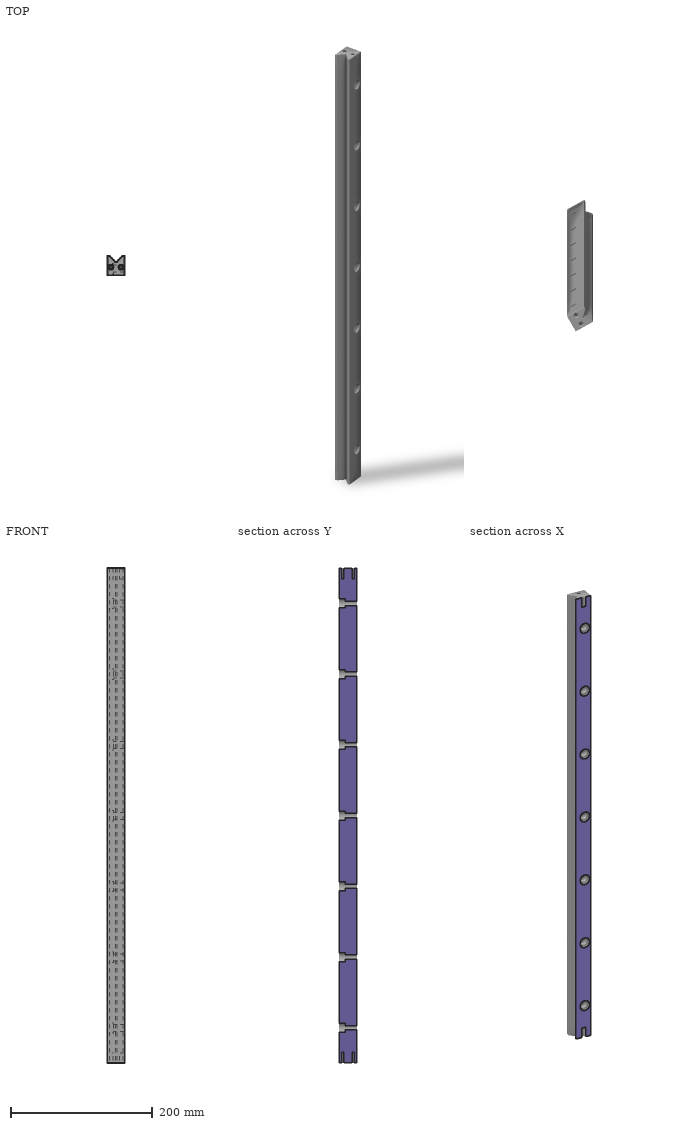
import cadquery as cq

WIDTH = 25.0
HEIGHT = 28.0
LENGTH = 700.0

TRACK_WIDTH = 19.0
RELIEF_WIDTH = 2.5
RELIEF_FLOOR_DEPTH = 9.2

MOUNT_PITCH = 100.0
MOUNT_COUNT = 7
MOUNT_HEIGHT = 10.0
MOUNT_DIAMETER = 9.8
COUNTERBORE_DIAMETER = 14.5
COUNTERBORE_DEPTH = 8.5

END_HOLE_SPACING = 14.5
END_HOLE_HEIGHT = 11.75
END_HOLE_DIAMETER = 5.0
END_HOLE_DEPTH = 15.0
END_HOLE_MOUTH_DIAMETER = 7.5

END_CHAMFER = 0.5

base_y = -HEIGHT / 2
top_y = HEIGHT / 2
side_x = WIDTH / 2


def make_bar():
    """Rectangular bar, chamfered around both end faces."""
    bar = cq.Workplane("XY").box(WIDTH, HEIGHT, LENGTH)
    return bar.faces("<Z or >Z").chamfer(END_CHAMFER)


def make_track():
    """Cutter for the V track and its relief slot, over the full length."""
    relief_x = RELIEF_WIDTH / 2
    track_x = TRACK_WIDTH / 2
    flank_depth = track_x - relief_x
    relief_y = top_y - flank_depth
    floor_y = top_y - RELIEF_FLOOR_DEPTH
    return (
        cq.Workplane("XY", origin=(0, 0, -LENGTH / 2))
        .moveTo(-track_x, top_y)
        .lineTo(-relief_x, relief_y)
        .lineTo(-relief_x, floor_y)
        .lineTo(relief_x, floor_y)
        .lineTo(relief_x, relief_y)
        .lineTo(track_x, top_y)
        .close()
        .extrude(LENGTH)
    )


def make_mount_hole(z):
    """Cutter for one through hole, counterbored on the -X side."""
    start = cq.Vector(-side_x, base_y + MOUNT_HEIGHT, z)
    along_x = cq.Vector(1, 0, 0)
    bore = cq.Solid.makeCylinder(MOUNT_DIAMETER / 2, WIDTH, start, along_x)
    counterbore = cq.Solid.makeCylinder(COUNTERBORE_DIAMETER / 2, COUNTERBORE_DEPTH, start, along_x)
    return cq.Workplane(obj=bore.fuse(counterbore))


def make_end_hole(x, end):
    """Cutter for one countersunk blind hole; end is -1 at the bottom and 1 at the top."""
    start = cq.Vector(x, base_y + END_HOLE_HEIGHT, end * LENGTH / 2)
    inward = cq.Vector(0, 0, -end)
    radius = END_HOLE_DIAMETER / 2
    mouth_radius = END_HOLE_MOUTH_DIAMETER / 2
    bore = cq.Solid.makeCylinder(radius, END_HOLE_DEPTH, start, inward)
    countersink = cq.Solid.makeCone(mouth_radius, radius, mouth_radius - radius, start, inward)
    return cq.Workplane(obj=bore.fuse(countersink))


result = make_bar().cut(make_track())

for index in range(MOUNT_COUNT):
    mount_z = (index - (MOUNT_COUNT - 1) / 2) * MOUNT_PITCH
    result = result.cut(make_mount_hole(mount_z))

for end in (-1, 1):
    for side in (-1, 1):
        result = result.cut(make_end_hole(side * END_HOLE_SPACING / 2, end))